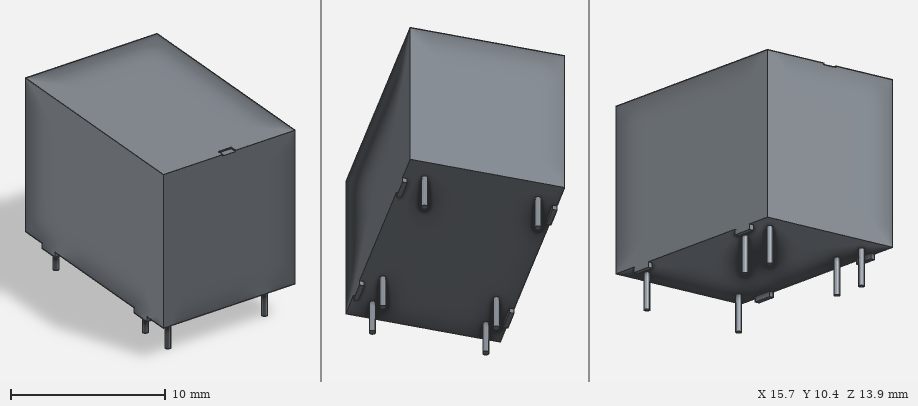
import cadquery as cq

HOUSING_LENGTH = 15.7
HOUSING_WIDTH = 10.4
HOUSING_HEIGHT = 11.4

FOOT_LENGTH = 1.49
FOOT_THICKNESS = 0.31
FOOT_HEIGHT = 0.38
FOOT_SPACING = 10.47

MARK_LENGTH = 0.5
MARK_WIDTH = 1.0
MARK_DEPTH = 0.1

PIN_PITCH = 2.55
PIN_COLUMNS = (-2.5, 1.5, 2.5)
PIN_ROWS = (-1.5, 1.5)
PIN_DIAMETER = 0.4
PIN_LENGTH = 2.55


def make_foot(side_x, side_y):
    """One foot, flush with the long side of the housing; each side is -1 or +1."""
    center_x = side_x * FOOT_SPACING / 2
    center_y = side_y * (HOUSING_WIDTH - FOOT_THICKNESS) / 2
    return (
        cq.Workplane("XY")
        .box(FOOT_LENGTH, FOOT_THICKNESS, FOOT_HEIGHT, centered=(True, True, False))
        .translate((center_x, center_y, -FOOT_HEIGHT))
    )


def make_orientation_mark():
    """Cutter for the mark in the middle of the +X edge of the top face."""
    return (
        cq.Workplane("XY")
        .box(MARK_LENGTH, MARK_WIDTH, MARK_DEPTH, centered=(True, True, False))
        .translate(((HOUSING_LENGTH - MARK_LENGTH) / 2, 0, HOUSING_HEIGHT - MARK_DEPTH))
    )


def make_housing():
    """Box with four feet and the orientation mark, as one solid."""
    body = cq.Workplane("XY").box(
        HOUSING_LENGTH, HOUSING_WIDTH, HOUSING_HEIGHT, centered=(True, True, False)
    )
    for side_x in (-1, 1):
        for side_y in (-1, 1):
            body = body.union(make_foot(side_x, side_y))
    return body.cut(make_orientation_mark())


def make_pin(column, row):
    """One round pin hanging from the underside of the housing."""
    return (
        cq.Workplane("XY")
        .center(column * PIN_PITCH, row * PIN_PITCH)
        .circle(PIN_DIAMETER / 2)
        .extrude(-PIN_LENGTH)
    )


housing = make_housing()
pins = [make_pin(column, row) for column in PIN_COLUMNS for row in PIN_ROWS]

result = cq.Compound.makeCompound([housing.val(), *[pin.val() for pin in pins]])